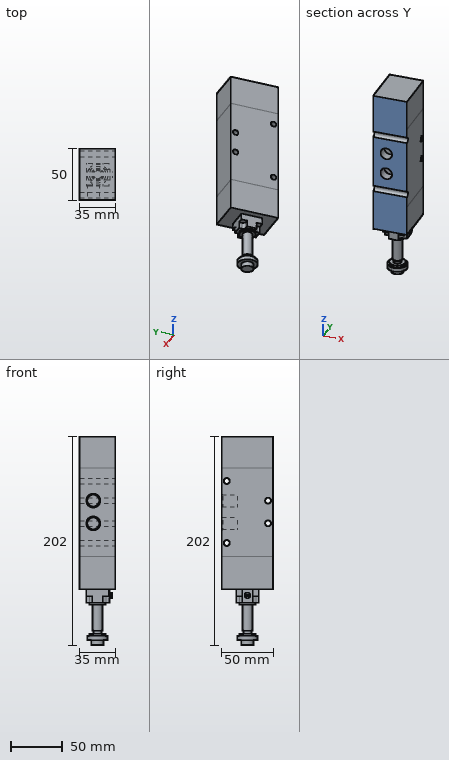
import cadquery as cq

VALVE_WIDTH = 35.0
VALVE_DEPTH = 50.0
LOWER_CAP_HEIGHT = 32.0
MIDDLE_HEIGHT = 86.0
UPPER_CAP_HEIGHT = 30.0
MIDDLE_CENTRE_Z = LOWER_CAP_HEIGHT + MIDDLE_HEIGHT / 2

PORT_SPACING = 22.0
PORT_X = -4.0
PORT_DIAMETER = 11.445
PORT_MOUTH_DIAMETER = 13.5
PORT_DEPTH = 15.0
MOUNT_HOLE_DIAMETER = 5.5
MOUNT_HOLE_OFFSET = 20.0
FRONT_HOLE_SPACING = 60.0
REAR_HOLE_SPACING = PORT_SPACING

PILOT_SIZE = 22.0
PILOT_HEIGHT = 13.0
CORNER_POCKET = 6.0
CORNER_POCKET_HEIGHT = 6.5
CORNER_POCKET_RADIUS = 3.0
PAD_THICKNESS = 0.8
PAD_WIDTH = PILOT_SIZE - 2 * CORNER_POCKET

SCREW_DIAMETER = 5.5
SCREW_LENGTH = 2.5
SCREW_SLOT_WIDTH = 1.6
SCREW_DROP = 5.8

STEM_STEPS = [
    (16.0, 2.0),
    (10.0, 25.0),
    (8.0, 3.0),
    (16.0, 2.0),
    (20.0, 4.0),
    (12.0, 5.0),
]


def block(width, depth, z_min, height):
    """Rectangular block centred on the Z axis, rising from z_min."""
    return cq.Workplane("XY", origin=(0, 0, z_min)).rect(width, depth).extrude(height)


def port(z):
    """Cutter for one blind port with a 45 degree chamfered mouth."""
    chamfer = (PORT_MOUTH_DIAMETER - PORT_DIAMETER) / 2
    profile = [
        (0, 0),
        (PORT_MOUTH_DIAMETER / 2, 0),
        (PORT_DIAMETER / 2, chamfer),
        (PORT_DIAMETER / 2, PORT_DEPTH),
        (0, PORT_DEPTH),
    ]
    return (
        cq.Workplane("XY")
        .polyline(profile)
        .close()
        .revolve(360, (0, 0, 0), (0, 1, 0))
        .translate((PORT_X, -VALVE_DEPTH / 2, z))
    )


def mount_hole(y, z):
    """Cutter for one hole right through the housing along X."""
    return (
        cq.Workplane("YZ", origin=(-VALVE_WIDTH / 2, y, z))
        .circle(MOUNT_HOLE_DIAMETER / 2)
        .extrude(VALVE_WIDTH)
    )


def make_valve():
    middle_top = LOWER_CAP_HEIGHT + MIDDLE_HEIGHT
    lower_cap = block(VALVE_WIDTH, VALVE_DEPTH, 0, LOWER_CAP_HEIGHT)
    middle = block(VALVE_WIDTH, VALVE_DEPTH, LOWER_CAP_HEIGHT, MIDDLE_HEIGHT)
    upper_cap = block(VALVE_WIDTH, VALVE_DEPTH, middle_top, UPPER_CAP_HEIGHT)

    for side in (-1, 1):
        port_z = MIDDLE_CENTRE_Z + side * PORT_SPACING / 2
        front_hole_z = MIDDLE_CENTRE_Z + side * FRONT_HOLE_SPACING / 2
        rear_hole_z = MIDDLE_CENTRE_Z + side * REAR_HOLE_SPACING / 2
        middle = middle.cut(port(port_z))
        middle = middle.cut(mount_hole(-MOUNT_HOLE_OFFSET, front_hole_z))
        middle = middle.cut(mount_hole(MOUNT_HOLE_OFFSET, rear_hole_z))

    return lower_cap.union(middle, clean=False).union(upper_cap, clean=False)


def corner_pocket(x_side, y_side):
    """Cutter for one corner notch, with a rounded inner edge, at the bottom of the pilot block."""
    corner = PILOT_SIZE / 2
    return (
        cq.Workplane("XY", origin=(x_side * corner, y_side * corner, -PILOT_HEIGHT))
        .rect(2 * CORNER_POCKET, 2 * CORNER_POCKET)
        .extrude(CORNER_POCKET_HEIGHT)
        .edges("|Z")
        .fillet(CORNER_POCKET_RADIUS)
    )


def screw_stub():
    """Short round stub on the +X pad, split across its end by a slot along Y."""
    pad_face = PILOT_SIZE / 2 + PAD_THICKNESS
    stub = (
        cq.Workplane("YZ", origin=(pad_face, 0, -SCREW_DROP))
        .circle(SCREW_DIAMETER / 2)
        .extrude(SCREW_LENGTH)
    )
    slot = (
        cq.Workplane("YZ", origin=(pad_face, 0, -SCREW_DROP))
        .rect(SCREW_DIAMETER, SCREW_SLOT_WIDTH)
        .extrude(SCREW_LENGTH)
    )
    return stub.cut(slot)


def make_pilot():
    pilot = block(PILOT_SIZE, PILOT_SIZE, -PILOT_HEIGHT, PILOT_HEIGHT)
    for x_side in (-1, 1):
        for y_side in (-1, 1):
            pilot = pilot.cut(corner_pocket(x_side, y_side))
    pad = (
        cq.Workplane("XY")
        .box(PAD_THICKNESS, PAD_WIDTH, PILOT_HEIGHT, centered=(False, True, False))
        .translate((PILOT_SIZE / 2, 0, -PILOT_HEIGHT))
    )
    pilot = pilot.union(pad)
    pilot = pilot.union(screw_stub())

    z = -PILOT_HEIGHT
    for diameter, length in STEM_STEPS:
        step = cq.Workplane("XY", origin=(0, 0, z)).circle(diameter / 2).extrude(-length)
        pilot = pilot.union(step)
        z -= length
    return pilot


valve = make_valve()
pilot = make_pilot()
result = cq.Compound.makeCompound([valve.val(), pilot.val()])